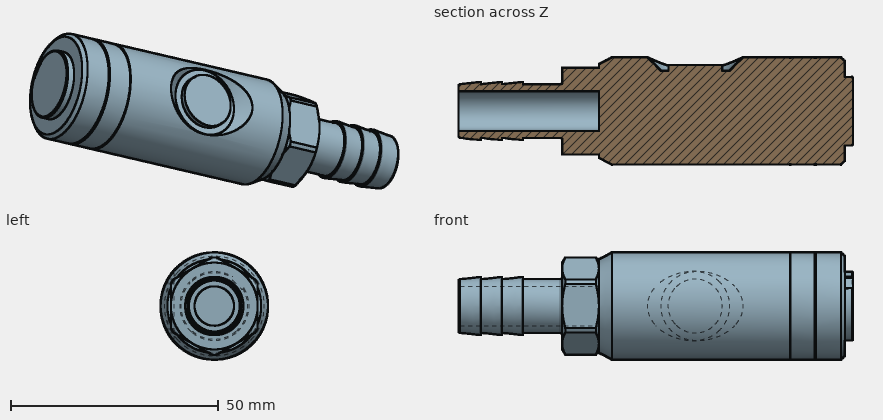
import cadquery as cq
import math

total_length = 95.1
hex_start = 25.0
body_start = 33.9
body_end = 93.1

stem_diameter = 13.0
barb_diameter = 14.1
barb_count = 3
barb_pitch = 5.0
first_barb_end = 5.5
barb_land = 0.4
tip_chamfer = 0.4
stem_base_radius = 0.5
bore_diameter = 9.5

hex_across_flats = 20.9
hex_corner_diameter = 23.5
hex_chamfer_angle = 30.0

body_diameter = 26.0
cone_start_diameter = 22.6
cone_length = 3.1
end_chamfer = 0.95
seam_position = 80.0
groove_position = 86.0
groove_width = 0.3
seam_width = 0.1
groove_depth = 0.14

button_x = 57.1
button_diameter = 13.0
button_top = 11.1
countersink_diameter = 23.0
pocket_floor_diameter = 16.5

nose_diameter = 16.6
nose_chamfer = 0.3
slot_width = 3.9
slot_floor_radius = 7.5
slot_angle = 45.0

body_radius = body_diameter / 2


def disc(diameter, start, end):
    """Cylinder on the X axis."""
    return cq.Workplane("YZ", origin=(start, 0, 0)).circle(diameter / 2).extrude(end - start)


def make_hose_tail():
    stem_radius = stem_diameter / 2
    barb_radius = barb_diameter / 2
    outline = (
        cq.Workplane("XY")
        .lineTo(0, stem_radius - tip_chamfer)
        .lineTo(tip_chamfer, stem_radius)
    )
    for index in range(barb_count):
        barb_end = first_barb_end + index * barb_pitch
        outline = (
            outline.lineTo(barb_end - barb_land, barb_radius)
            .lineTo(barb_end, barb_radius)
            .lineTo(barb_end, stem_radius)
        )
    outline = (
        outline.lineTo(hex_start - stem_base_radius, stem_radius)
        .radiusArc((hex_start, stem_radius + stem_base_radius), -stem_base_radius)
        .lineTo(hex_start, 0)
        .close()
    )
    return outline.revolve(360, (0, 0, 0), (1, 0, 0))


def make_hex():
    length = body_start - hex_start
    across_corners = hex_across_flats / math.cos(math.radians(30))
    prism = (
        cq.Workplane("YZ", origin=(hex_start, 0, 0))
        .transformed(rotate=(0, 0, 90))
        .polygon(6, across_corners)
        .extrude(length)
    )
    radial_drop = (hex_corner_diameter - hex_across_flats) / 2
    axial_drop = radial_drop * math.tan(math.radians(hex_chamfer_angle))
    blank = (
        disc(hex_corner_diameter, hex_start, body_start)
        .faces("<X").chamfer(axial_drop, radial_drop)
        .faces(">X").chamfer(axial_drop, radial_drop)
    )
    return prism.intersect(blank)


def make_body():
    cone_end = body_start + cone_length
    return (
        cq.Workplane("XY")
        .moveTo(body_start, 0)
        .lineTo(body_start, cone_start_diameter / 2)
        .lineTo(cone_end, body_radius)
        .lineTo(body_end - end_chamfer, body_radius)
        .lineTo(body_end, body_radius - end_chamfer)
        .lineTo(body_end, 0)
        .close()
        .revolve(360, (0, 0, 0), (1, 0, 0))
    )


def make_groove(position, width):
    """Ring that cuts a shallow groove around the body."""
    start = position - width / 2
    end = position + width / 2
    floor_diameter = body_diameter - 2 * groove_depth
    return disc(body_diameter, start, end).cut(disc(floor_diameter, start, end))


def make_button_pocket():
    """45-degree countersink along Y with a flat floor, sized where it meets the top of the body."""
    rim_radius = countersink_diameter / 2
    floor_radius = pocket_floor_diameter / 2
    floor_y = body_radius - (rim_radius - floor_radius)
    margin = 0.95
    top_radius = rim_radius + margin
    height = top_radius - floor_radius
    cone = cq.Solid.makeCone(
        floor_radius, top_radius, height, cq.Vector(button_x, floor_y, 0), cq.Vector(0, 1, 0)
    )
    return cq.Workplane(obj=cone)


def make_button():
    return (
        cq.Workplane("XZ", origin=(button_x, 0, 0))
        .circle(button_diameter / 2)
        .extrude(-button_top)
    )


def make_nose():
    nose = disc(nose_diameter, body_end, total_length).faces(">X").chamfer(nose_chamfer)
    slot_depth = nose_diameter / 2 - slot_floor_radius
    slot_center_radius = nose_diameter / 2
    slot = (
        cq.Workplane("XY")
        .box(total_length - body_end, slot_width, 2 * slot_depth)
        .translate(((body_end + total_length) / 2, 0, slot_center_radius))
        .rotate((0, 0, 0), (1, 0, 0), slot_angle)
    )
    return nose.cut(slot)


body = make_body().cut(make_button_pocket()).union(make_button())
body = body.cut(make_groove(seam_position, seam_width))
body = body.cut(make_groove(groove_position, groove_width))

result = make_hose_tail().union(make_hex()).union(body).union(make_nose())
result = result.cut(disc(bore_diameter, 0, body_start))